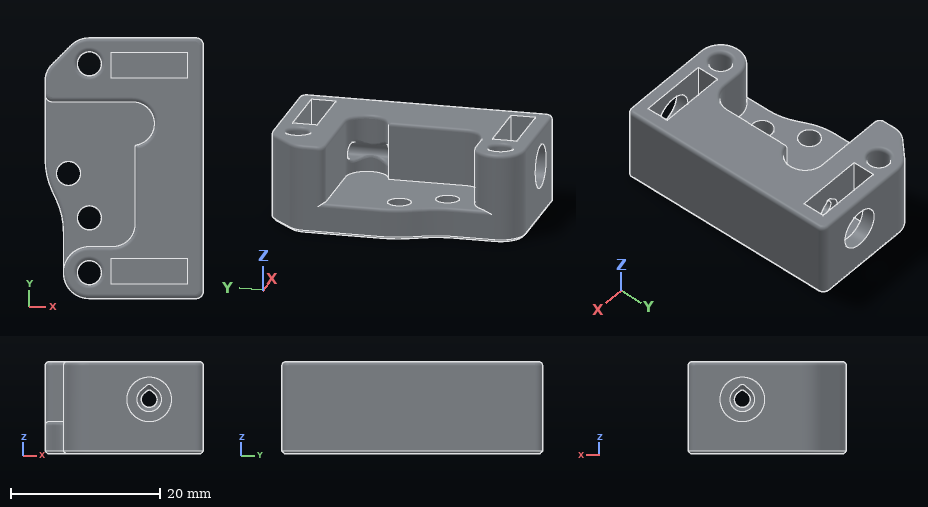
import cadquery as cq
import math

length = 35.0
width = 21.25
height = 12.4

edge_round = 0.6
bottom_chamfer = 0.4
corner_round = 1.0

column_radius = 3.5
column_x = 5.95
front_column_y = column_radius
rear_column_y = length - column_radius
rear_left_round = 3.0
step = column_x - column_radius
s_curve_radius = 10.0
s_curve_angle = 25.0
s_curve_rear_y = 18.7

floor_height = 4.38
pocket_front_y = 2 * column_radius
pocket_rear_y = 26.4
pocket_wall_x = 12.08
pocket_round = 3.0
lobe_radius = 2.9
lobe_x = 11.75
lobe_y = pocket_rear_y - lobe_radius
lobe_corner_round = 0.25

hole_diameter = 3.2
column_holes = [(column_x, front_column_y), (column_x, rear_column_y)]
floor_holes = [(3.15, 16.8), (column_x, 10.85)]

bore_x = 13.95
bore_z = 7.3
bore_radius = 1.05
bore_roof_angle = 50.0
bore_tip_round = 0.45
bore_chamfer = 0.6
groove_round = 0.52

fitting_diameter = 6.0
slot_length = 10.3
slot_width = 3.4
slot_offset = 2.0
slot_floor = slot_offset
slot_centre_y = slot_offset + slot_width / 2

selection_margin = 0.35

DIAGONAL = math.sqrt(0.5)


def start_outline():
    """Outline from the front column counterclockwise to the end of the rear left corner."""
    corner_mid = corner_round * (1 - DIAGONAL)
    diagonal_x = column_x - column_radius * DIAGONAL
    diagonal_y = rear_column_y + column_radius * DIAGONAL
    half_turn = math.radians(45 / 2)
    left_corner_y = diagonal_y - diagonal_x
    round_setback = rear_left_round * math.tan(half_turn)
    round_end_y = left_corner_y - round_setback
    return (
        cq.Workplane("XY")
        .moveTo(column_x, 0)
        .lineTo(width - corner_round, 0)
        .threePointArc((width - corner_mid, corner_mid), (width, corner_round))
        .lineTo(width, length - corner_round)
        .threePointArc((width - corner_mid, length - corner_mid), (width - corner_round, length))
        .lineTo(column_x, length)
        .threePointArc(
            (
                column_x - column_radius * math.sin(half_turn),
                rear_column_y + column_radius * math.cos(half_turn),
            ),
            (diagonal_x, diagonal_y),
        )
        .lineTo(round_setback * DIAGONAL, left_corner_y + round_setback * DIAGONAL)
        .threePointArc(
            (
                rear_left_round * (1 - math.cos(half_turn)),
                round_end_y + rear_left_round * math.sin(half_turn),
            ),
            (0, round_end_y),
        )
    )


def make_base():
    """Floor plate whose left side steps inward along an S-curve."""
    full = math.radians(s_curve_angle)
    half = full / 2
    bulge = s_curve_radius * (1 - math.cos(full))
    half_bulge = s_curve_radius * (1 - math.cos(half))
    drop = s_curve_radius * math.sin(full)
    half_drop = s_curve_radius * math.sin(half)
    straight_drop = (step - 2 * bulge) / math.tan(full)
    s_curve_front_y = s_curve_rear_y - 2 * drop - straight_drop
    column_mid = column_radius * DIAGONAL
    base = (
        start_outline()
        .lineTo(0, s_curve_rear_y)
        .threePointArc((half_bulge, s_curve_rear_y - half_drop), (bulge, s_curve_rear_y - drop))
        .lineTo(step - bulge, s_curve_front_y + drop)
        .threePointArc((step - half_bulge, s_curve_front_y + half_drop), (step, s_curve_front_y))
        .lineTo(step, front_column_y)
        .threePointArc((column_x - column_mid, front_column_y - column_mid), (column_x, 0))
        .close()
        .extrude(floor_height)
    )
    base = base.faces(">Z").edges().fillet(edge_round)
    return base.faces("<Z").edges().chamfer(bottom_chamfer)


def make_upper():
    """Walls around the pocket, with every top edge and both column holes rounded."""
    mouth_mid = corner_round * (1 - DIAGONAL)
    pocket_mid = pocket_round * (1 - DIAGONAL)
    lobe_end_y = lobe_y - math.sqrt(lobe_radius**2 - (pocket_wall_x - lobe_x) ** 2)
    upper = (
        start_outline()
        .lineTo(0, pocket_rear_y + corner_round)
        .threePointArc((mouth_mid, pocket_rear_y + mouth_mid), (corner_round, pocket_rear_y))
        .lineTo(lobe_x, pocket_rear_y)
        .threePointArc((lobe_x + lobe_radius, lobe_y), (pocket_wall_x, lobe_end_y))
        .lineTo(pocket_wall_x, pocket_front_y + pocket_round)
        .threePointArc(
            (pocket_wall_x - pocket_mid, pocket_front_y + pocket_mid),
            (pocket_wall_x - pocket_round, pocket_front_y),
        )
        .lineTo(column_x, pocket_front_y)
        .threePointArc((step, front_column_y), (column_x, 0))
        .close()
        .extrude(height - bottom_chamfer)
        .translate((0, 0, bottom_chamfer))
    )
    lobe_corner = cq.selectors.BoxSelector(
        (pocket_wall_x - selection_margin, lobe_end_y - selection_margin, 0),
        (pocket_wall_x + selection_margin, lobe_end_y + selection_margin, height),
    )
    upper = upper.edges("|Z").edges(lobe_corner).fillet(lobe_corner_round)
    upper = upper.cut(vertical_holes(column_holes))
    return upper.faces(">Z").edges().fillet(edge_round)


def vertical_holes(places):
    """Cutting cylinders through the full height at the given places."""
    return cq.Workplane("XY").pushPoints(places).circle(hole_diameter / 2).extrude(height)


def teardrop(radius, y):
    """Circle with a pitched roof and rounded tip, in a plane across Y."""
    cosine = math.cos(math.radians(bore_roof_angle))
    sine = math.sin(math.radians(bore_roof_angle))
    tip_z = (radius - bore_tip_round) / sine
    return (
        cq.Workplane("XZ", origin=(bore_x, y, bore_z))
        .moveTo(radius * cosine, radius * sine)
        .lineTo(bore_tip_round * cosine, tip_z + bore_tip_round * sine)
        .threePointArc(
            (0, tip_z + bore_tip_round),
            (-bore_tip_round * cosine, tip_z + bore_tip_round * sine),
        )
        .lineTo(-radius * cosine, radius * sine)
        .threePointArc((0, -radius), (radius * cosine, radius * sine))
        .close()
    )


def end_cavity():
    """Front fitting hole, slot and flared bore mouth behind the slot."""
    slot_inner_y = slot_offset + slot_width
    fitting = (
        cq.Workplane("XZ", origin=(bore_x, 0, bore_z))
        .circle(fitting_diameter / 2)
        .extrude(-slot_centre_y)
    )
    slot = (
        cq.Workplane("XY", origin=(bore_x, slot_centre_y, slot_floor))
        .rect(slot_length, slot_width)
        .extrude(height)
    )
    mouth_outer = teardrop(bore_radius + bore_chamfer, slot_inner_y).wires().val()
    mouth_inner = teardrop(bore_radius, slot_inner_y + bore_chamfer).wires().val()
    mouth = cq.Workplane(cq.Solid.makeLoft([mouth_outer, mouth_inner], True))
    return fitting.union(slot).union(mouth)


def groove_edges():
    """Box around the edges where the bore breaks into the pocket lobe."""
    reach = bore_radius + 2 * selection_margin
    half_span = lobe_radius + selection_margin
    return cq.selectors.BoxSelector(
        (bore_x - reach, lobe_y - half_span, bore_z - reach),
        (bore_x + reach, lobe_y + half_span, bore_z + reach),
        boundingbox=True,
    )


body = make_base().union(make_upper())
body = body.cut(vertical_holes(floor_holes + column_holes))

bore = teardrop(bore_radius, length - slot_centre_y).extrude(length - 2 * slot_centre_y)
body = body.cut(bore)
body = body.edges(groove_edges()).fillet(groove_round)

front_cavity = end_cavity()
rear_cavity = front_cavity.mirror("XZ", (0, length / 2, 0))
result = body.cut(front_cavity).cut(rear_cavity)